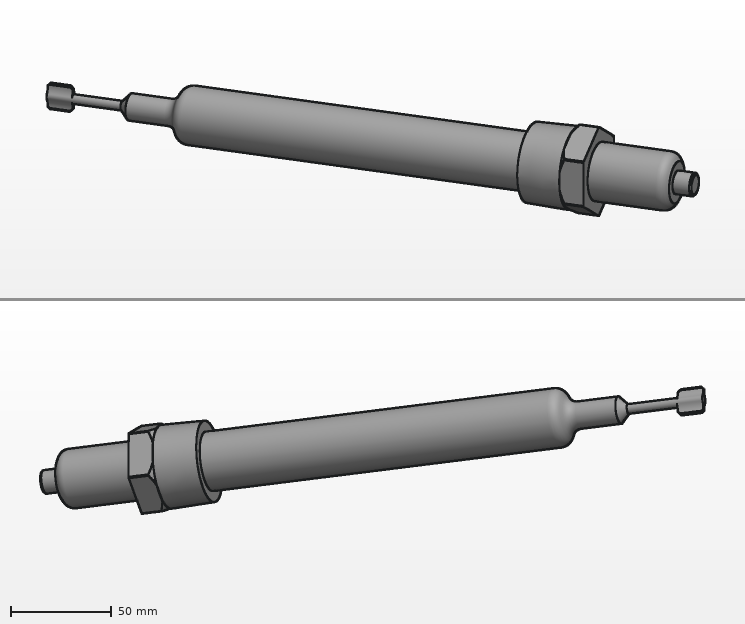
import cadquery as cq
import math

total_length = 347.6

rod_dia = 5.0
tip_dia = 13.9
tip_length = 13.5
tip_front_chamfer = 1.4
tip_back_chamfer = 1.9
blade_edge_height = 0.8
blade_edge_width = 0.8
flank_radius = 7.0
flank_start_angle = 35.0

neck_dia = 13.9
neck_cone_end = 44.2
neck_end = 65.4

body_dia = 30.0
shoulder_angle = 60.0
front_shoulder_radius = 6.0
front_shoulder_end = 77.0
back_shoulder_start = 332.3
back_shoulder_radius = 5.2
back_face_x = 337.8

pin_dia = 12.0
pin_chamfer = 0.9

collar_start = 260.2
collar_taper_end = 281.1
collar_end = 283.0
collar_start_dia = 41.0
collar_dia = 42.2
hex_end = 295.8
hex_across_flats = 41.0
hex_corner_dia = 46.93
hex_chamfer = 2.4


def turned(profile):
    """Turn a closed profile, drawn as X against radius, about the X axis."""
    return profile.close().revolve(360, (0, 0, 0), (1, 0, 0))


def arc_offsets(radius, angle):
    """Offsets along and across the axis at half and all of an arc that starts along the axis."""
    half_and_full = (math.radians(angle / 2), math.radians(angle))
    return [(radius * math.sin(turn), radius * (1 - math.cos(turn))) for turn in half_and_full]


def make_shaft():
    rod_r = rod_dia / 2
    neck_r = neck_dia / 2
    body_r = body_dia / 2
    pin_r = pin_dia / 2
    slope = math.tan(math.radians(shoulder_angle))
    front_turn = arc_offsets(front_shoulder_radius, shoulder_angle)
    back_turn = arc_offsets(back_shoulder_radius, shoulder_angle)

    hollow_mid, hollow_end = [(neck_end + dx, neck_r + dr) for dx, dr in front_turn]
    round_mid, round_start = [(front_shoulder_end - dx, body_r - dr) for dx, dr in front_turn]
    back_mid, back_end = [(back_shoulder_start + dx, body_r - dr) for dx, dr in back_turn]
    back_face_r = back_end[1] - slope * (back_face_x - back_end[0])

    return turned(
        cq.Workplane("XY")
        .moveTo(tip_length, 0)
        .lineTo(tip_length, rod_r)
        .lineTo(neck_cone_end - (neck_r - rod_r), rod_r)
        .lineTo(neck_cone_end, neck_r)
        .lineTo(neck_end, neck_r)
        .threePointArc(hollow_mid, hollow_end)
        .lineTo(*round_start)
        .threePointArc(round_mid, (front_shoulder_end, body_r))
        .lineTo(back_shoulder_start, body_r)
        .threePointArc(back_mid, back_end)
        .lineTo(back_face_x, back_face_r)
        .lineTo(back_face_x, pin_r)
        .lineTo(total_length - pin_chamfer, pin_r)
        .lineTo(total_length, pin_r - pin_chamfer)
        .lineTo(total_length, 0)
    )


def corner_wedge(end_x, inward, side, chamfer):
    """Triangular prism that chamfers one outer corner of a blade, oversized beyond the metal."""
    reach = 2 * chamfer
    corner_z = side * tip_dia / 2
    return (
        cq.Workplane("XZ")
        .moveTo(end_x - inward * chamfer, corner_z - side * reach)
        .lineTo(end_x + inward * reach, corner_z + side * chamfer)
        .lineTo(end_x - inward * chamfer, corner_z + side * chamfer)
        .close()
        .extrude(rod_dia, both=True)
    )


def make_tip():
    tip_r = tip_dia / 2
    start_angle = math.radians(flank_start_angle)
    rod_r = rod_dia / 2
    start_y = rod_r * math.cos(start_angle)
    start_z = rod_r * math.sin(start_angle)
    centre_y = (rod_r + flank_radius) * math.cos(start_angle)
    centre_z = (rod_r + flank_radius) * math.sin(start_angle)

    def flank_y(z):
        return centre_y - math.sqrt(flank_radius**2 - (centre_z - z) ** 2)

    flank_end_z = tip_r - blade_edge_height
    mid_z = (start_z + flank_end_z) / 2
    flank_mid = (flank_y(mid_z), mid_z)
    flank_start = (start_y, start_z)
    flank_end = (flank_y(flank_end_z), flank_end_z)
    edge = (blade_edge_width / 2, tip_r)

    def mirrored(point, y_sign, z_sign):
        return (y_sign * point[0], z_sign * point[1])

    tip = (
        cq.Workplane("YZ")
        .moveTo(*flank_start)
        .threePointArc(flank_mid, flank_end)
        .lineTo(*edge)
        .lineTo(*mirrored(edge, -1, 1))
        .lineTo(*mirrored(flank_end, -1, 1))
        .threePointArc(mirrored(flank_mid, -1, 1), mirrored(flank_start, -1, 1))
        .threePointArc((-rod_r, 0), mirrored(flank_start, -1, -1))
        .threePointArc(mirrored(flank_mid, -1, -1), mirrored(flank_end, -1, -1))
        .lineTo(*mirrored(edge, -1, -1))
        .lineTo(*mirrored(edge, 1, -1))
        .lineTo(*mirrored(flank_end, 1, -1))
        .threePointArc(mirrored(flank_mid, 1, -1), mirrored(flank_start, 1, -1))
        .threePointArc((rod_r, 0), flank_start)
        .close()
        .extrude(tip_length)
    )
    for end_x, inward, chamfer in ((0, 1, tip_front_chamfer), (tip_length, -1, tip_back_chamfer)):
        for side in (1, -1):
            tip = tip.cut(corner_wedge(end_x, inward, side, chamfer))
    return tip


def make_collar():
    return turned(
        cq.Workplane("XY")
        .moveTo(collar_start, 0)
        .lineTo(collar_start, collar_start_dia / 2)
        .lineTo(collar_taper_end, collar_dia / 2)
        .lineTo(collar_end, collar_dia / 2)
        .lineTo(collar_end, 0)
    )


def make_hexagon():
    corner_r = hex_corner_dia / 2
    prism = (
        cq.Workplane("YZ", origin=(collar_end, 0, 0))
        .polygon(6, hex_across_flats, circumscribed=True)
        .extrude(hex_end - collar_end)
    )
    envelope = turned(
        cq.Workplane("XY")
        .moveTo(collar_end, 0)
        .lineTo(collar_end, corner_r - hex_chamfer)
        .lineTo(collar_end + hex_chamfer, corner_r)
        .lineTo(hex_end, corner_r)
        .lineTo(hex_end, 0)
    )
    return prism.intersect(envelope)


result = (
    make_shaft()
    .union(make_collar())
    .union(make_hexagon())
    .union(make_tip(), clean=False)
)